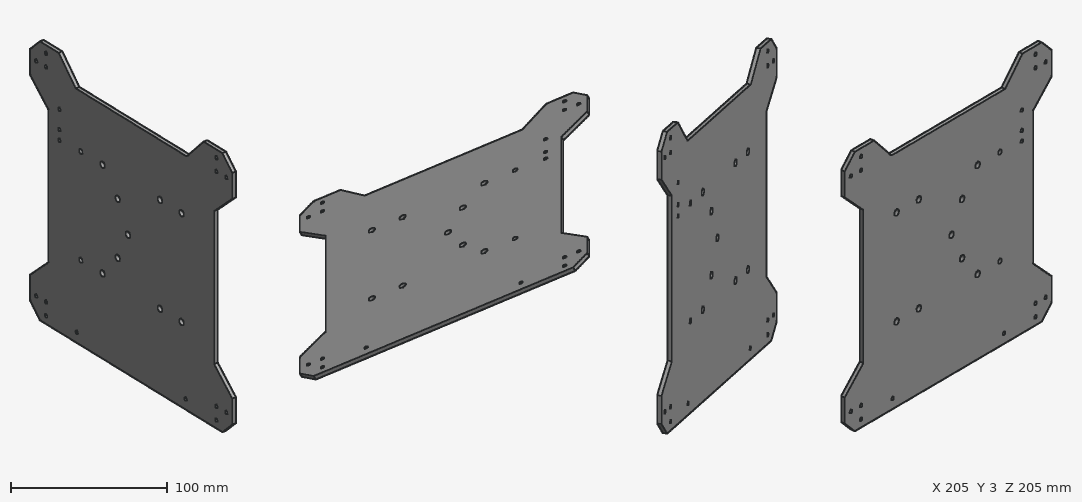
import cadquery as cq

side = 205.0
thickness = 3.0
half_side = side / 2
corner_chamfer = 10.0
body_half = 84.0
ear_inner = 73.4
recess_half = 56.2

small_diameter = 2.5
medium_diameter = 3.5
large_diameter = 4.5

corner_hole_inner = 86.3
corner_hole_outer = 96.4

mount_row_z = 40.0
mount_inner_x = 29.1
mount_outer_x = 51.0

triangle_tip_x = -3.3
triangle_base_x = -13.7
triangle_half_height = 21.7

column_x = -72.8
column_heights = [61.3, 46.3, 38.5]
bottom_hole_x = 55.1
bottom_hole_z = -94.7


def make_plate():
    """Square plate with recessed left, right and top edges and a full bottom edge."""
    chamfer_start = half_side - corner_chamfer
    right_half = [
        (chamfer_start, -half_side),
        (half_side, -chamfer_start),
        (half_side, -ear_inner),
        (body_half, -recess_half),
        (body_half, recess_half),
        (half_side, ear_inner),
        (half_side, chamfer_start),
        (chamfer_start, half_side),
        (ear_inner, half_side),
        (recess_half, body_half),
    ]
    left_half = [(-x, z) for x, z in reversed(right_half)]
    outline = cq.Workplane("XZ").polyline(right_half + left_half).close()
    return outline.extrude(thickness / 2, both=True)


def drill(plate, points, diameter):
    """Cut through holes along Y at the given (x, z) points."""
    pins = cq.Workplane("XZ").pushPoints(points).circle(diameter / 2).extrude(thickness, both=True)
    return plate.cut(pins)


corner_points = []
for sx in (-1, 1):
    for sz in (-1, 1):
        corner_points += [
            (sx * corner_hole_inner, sz * corner_hole_inner),
            (sx * corner_hole_outer, sz * corner_hole_inner),
            (sx * corner_hole_inner, sz * corner_hole_outer),
        ]
column_points = [(column_x, z) for z in column_heights]
bottom_points = [(sx * bottom_hole_x, bottom_hole_z) for sx in (-1, 1)]

medium_points = [(-mount_outer_x, sz * mount_row_z) for sz in (-1, 1)]
mount_points = [
    (x, sz * mount_row_z)
    for x in (-mount_inner_x, mount_inner_x, mount_outer_x)
    for sz in (-1, 1)
]
triangle_points = [
    (triangle_tip_x, 0),
    (triangle_base_x, triangle_half_height),
    (triangle_base_x, -triangle_half_height),
]

result = make_plate()
result = drill(result, corner_points + column_points + bottom_points, small_diameter)
result = drill(result, medium_points, medium_diameter)
result = drill(result, mount_points + triangle_points, large_diameter)